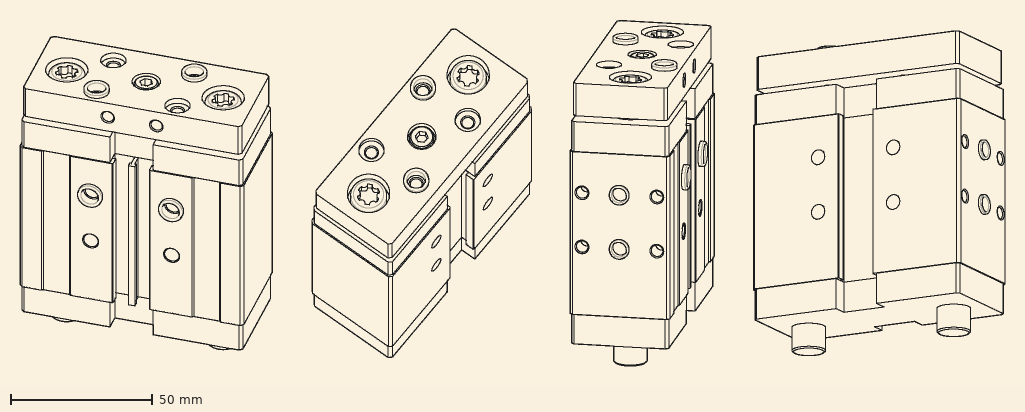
import cadquery as cq
import math


ROD_OVERHANG = 9.0
CAP_HEIGHT = 11.0
HOUSING_HEIGHT = 60.0
YOKE_GAP = 2.0
YOKE_HEIGHT = 12.0

LOWER_CAP_Z = ROD_OVERHANG
HOUSING_Z = LOWER_CAP_Z + CAP_HEIGHT
HOUSING_TOP = HOUSING_Z + HOUSING_HEIGHT
CAP_TOP = HOUSING_TOP + CAP_HEIGHT
YOKE_Z = CAP_TOP + YOKE_GAP
YOKE_TOP = YOKE_Z + YOKE_HEIGHT

HOUSING_WIDTH = 83.0
HOUSING_DEPTH = 36.0
CAP_WIDTH = 82.0
CAP_DEPTH = 35.0
YOKE_WIDTH = 81.0
YOKE_DEPTH = 34.0
BODY_CHAMFER = 1.1
YOKE_CHAMFER = 1.1
HOUSING_FRONT = -HOUSING_DEPTH / 2
HOUSING_SIDE = -HOUSING_WIDTH / 2
YOKE_FRONT = -YOKE_DEPTH / 2

SLOT_FLOOR = 11.6
SLOT_WIDTH = 16.0
SLOT_MOUTH = 13.5
SLOT_LIP = 3.3
LIP_CHAMFER = 0.3
RIB_STEM = 1.3
RIB_HEAD = 2.5
RIB_HEAD_DEPTH = 1.7
RIB_TIP = 17.4

RECESS_INNER = 22.5
RECESS_OUTER = 33.2
RECESS_DEPTH = 0.5

ROD_DIAMETER = 12.0
ROD_SPACING = 58.0
ROD_Y = -1.5
ROD_CHAMFER = 0.5
PISTON_DIAMETER = 8.0
ROD_POINTS = [(-ROD_SPACING / 2, ROD_Y), (ROD_SPACING / 2, ROD_Y)]

ROD_COUNTERBORE = 15.0
ROD_HEAD = 12.8
ROD_HEAD_HEIGHT = 5.3
ROD_HEAD_SUNK = 0.9
ROD_HEAD_ROUNDING = 1.1
STAR_OUTER = 4.0
STAR_INNER = 3.0
STAR_TIP_HALF_ANGLE = 12
STAR_LOBES = 6
FIRST_TIP_ANGLE = 90
PISTON_COUNTERBORE = 10.0
PISTON_HEAD = 8.5
PISTON_HEAD_HEIGHT = 3.2
PISTON_HEAD_SUNK = 0.3
PISTON_HEAD_CHAMFER = 0.4
HEX_ACROSS_FLATS = 4.0
HEX_SIDES = 6
SOCKET_DEPTH = 3.2

HOLE_PITCH_X = 30.0
HOLE_PITCH = 20.0
YOKE_HOLES_Y = -1.0
HOLE_BELOW_TOP = 15.0
UPPER_HOLE_Z = HOUSING_TOP - HOLE_BELOW_TOP
LOWER_HOLE_Z = UPPER_HOLE_Z - HOLE_PITCH
THROUGH_HOLE = 5.3
THROUGH_HOLE_MOUTH = 6.0
THREAD_CORE = 4.2
THREAD_OUTER = 5.0
BLIND_DEPTH = 8.5
DRILL_TIP_ANGLE = 118
SIDE_HOLE_PITCH_Y = 27.0
YOKE_FRONT_HOLE_PITCH = 18.0
YOKE_FRONT_HOLE_Z = YOKE_TOP - YOKE_HEIGHT / 2

LARGE_SEAT = 2.1
LARGE_SLEEVE = (9.0, 6.5, LARGE_SEAT, 1.8)
SMALL_SLEEVE = (7.0, 5.3, 1.7, 1.3)

HOLE_COLUMNS_X = (-HOLE_PITCH_X / 2, HOLE_PITCH_X / 2)
YOKE_SLEEVE_POINTS = [
    (-HOLE_PITCH_X / 2, YOKE_HOLES_Y - HOLE_PITCH / 2),
    (HOLE_PITCH_X / 2, YOKE_HOLES_Y + HOLE_PITCH / 2),
]
YOKE_HOLE_POINTS = [
    (x, YOKE_HOLES_Y + side * HOLE_PITCH / 2)
    for x in HOLE_COLUMNS_X
    for side in (-1, 1)
]
HOLE_ROWS_Z = (LOWER_HOLE_Z, UPPER_HOLE_Z)

UP = cq.Vector(0, 0, 1)
INTO_YOKE_TOP = cq.Vector(0, 0, -1)
INTO_FRONT = cq.Vector(0, 1, 0)
INTO_SIDE = cq.Vector(1, 0, 0)


def cylinder(diameter, length, start, direction):
    """Cylinder from a start point along a direction."""
    return cq.Workplane(cq.Solid.makeCylinder(diameter / 2, length, cq.Vector(*start), direction))


def chamfered_block(width, depth, height, base_z, chamfer):
    block = cq.Workplane("XY").workplane(offset=base_z).rect(width, depth).extrude(height)
    return block.edges("|Z").chamfer(chamfer)


def cone(base_diameter, end_diameter, length, start, direction):
    """Cone or frustum from a start point along a direction."""
    return cq.Workplane(
        cq.Solid.makeCone(base_diameter / 2, end_diameter / 2, length, cq.Vector(*start), direction)
    )


def countersunk_hole(core, mouth, start, direction, depth):
    """Straight bore with a 45 degree countersink at its mouth."""
    sink = (mouth - core) / 2
    return cylinder(core, depth, start, direction).union(cone(mouth, core, sink, start, direction))


def threaded_hole(start, direction, depth):
    return countersunk_hole(THREAD_CORE, THREAD_OUTER, start, direction, depth)


def blind_threaded_hole(start, direction):
    """Threaded hole that ends in a conical drill tip."""
    tip_length = THREAD_CORE / 2 / math.tan(math.radians(DRILL_TIP_ANGLE / 2))
    tip_start = (cq.Vector(*start) + direction * BLIND_DEPTH).toTuple()
    tip = cone(THREAD_CORE, 0, tip_length, tip_start, direction)
    return threaded_hole(start, direction, BLIND_DEPTH).union(tip)


def sleeve_seat(sleeve, start, direction):
    outer, _, seat, _ = sleeve
    return cylinder(outer, seat, start, direction)


def make_sleeve(sleeve, start, direction):
    """Ring that sits in its seat and stands proud of the surface, with a fully rounded outer end."""
    outer, inner, seat, proud = sleeve
    wall = (outer - inner) / 2
    shoulder = proud - wall / 2
    radial = UP.cross(direction) if direction.dot(UP) == 0 else cq.Vector(-1, 0, 0)
    plane = cq.Plane(cq.Vector(*start), xDir=radial, normal=direction.cross(radial))
    profile = (
        cq.Workplane(plane)
        .moveTo(inner / 2, -seat)
        .lineTo(outer / 2, -seat)
        .lineTo(outer / 2, shoulder)
        .threePointArc(((outer + inner) / 4, proud), (inner / 2, shoulder))
        .close()
    )
    return profile.revolve(360, (0, 0), (0, 1))


def rod_bores():
    """Close-fitting bores: guide rods through the caps and housing, piston rod up to the lower cap."""
    length = CAP_TOP - LOWER_CAP_Z
    bores = cylinder(PISTON_DIAMETER, CAP_TOP - HOUSING_Z, (0, 0, HOUSING_Z), UP)
    for x, y in ROD_POINTS:
        bores = bores.union(cylinder(ROD_DIAMETER, length, (x, y, LOWER_CAP_Z), UP))
    return bores


def sensor_slot():
    """Undercut slot in the housing front, with lips that narrow and chamfer its mouth."""
    front = HOUSING_DEPTH / 2
    lip = front - SLOT_LIP
    half = SLOT_WIDTH / 2
    mouth = SLOT_MOUTH / 2
    right = [
        (half, -SLOT_FLOOR),
        (half, -lip),
        (mouth, -lip),
        (mouth, -front + LIP_CHAMFER),
        (mouth + LIP_CHAMFER, -front),
    ]
    left = [(-x, y) for x, y in reversed(right)]
    return cq.Workplane("XY").workplane(offset=HOUSING_Z).polyline(right + left).close().extrude(HOUSING_HEIGHT)


def slot_rib():
    """T-shaped rib standing on the floor of the front slot."""
    stem_length = RIB_TIP - SLOT_FLOOR
    base = cq.Workplane("XY").workplane(offset=HOUSING_Z)
    stem = base.center(0, -SLOT_FLOOR - stem_length / 2).rect(RIB_STEM, stem_length).extrude(HOUSING_HEIGHT)
    head_y = -RIB_TIP + RIB_HEAD_DEPTH / 2
    head = base.center(0, head_y).rect(RIB_HEAD, RIB_HEAD_DEPTH).extrude(HOUSING_HEIGHT)
    return stem.union(head)


def front_recess(side):
    """Shallow trapezoidal recess with 45 degree flanks, on one side of the front slot."""
    floor = HOUSING_FRONT + RECESS_DEPTH
    points = [
        (side * RECESS_INNER, HOUSING_FRONT),
        (side * (RECESS_INNER + RECESS_DEPTH), floor),
        (side * (RECESS_OUTER - RECESS_DEPTH), floor),
        (side * RECESS_OUTER, HOUSING_FRONT),
    ]
    return cq.Workplane("XY").workplane(offset=HOUSING_Z).polyline(points).close().extrude(HOUSING_HEIGHT)


def front_through_hole(x, z):
    start = (x, HOUSING_FRONT, z)
    return countersunk_hole(THROUGH_HOLE, THROUGH_HOLE_MOUTH, start, INTO_FRONT, HOUSING_DEPTH)


def make_housing():
    housing = chamfered_block(HOUSING_WIDTH, HOUSING_DEPTH, HOUSING_HEIGHT, HOUSING_Z, BODY_CHAMFER)
    slot = sensor_slot()
    housing = housing.cut(slot).cut(slot.mirror("XZ")).union(slot_rib())
    for side in (-1, 1):
        housing = housing.cut(front_recess(side))
    housing = housing.cut(rod_bores())
    for z in HOLE_ROWS_Z:
        for x in HOLE_COLUMNS_X:
            housing = housing.cut(front_through_hole(x, z))
        for y in (-SIDE_HOLE_PITCH_Y / 2, SIDE_HOLE_PITCH_Y / 2):
            housing = housing.cut(blind_threaded_hole((HOUSING_SIDE, y, z), INTO_SIDE))
        housing = housing.cut(sleeve_seat(SMALL_SLEEVE, (HOUSING_SIDE, 0, z), INTO_SIDE))
    for x in HOLE_COLUMNS_X:
        housing = housing.cut(sleeve_seat(LARGE_SLEEVE, (x, HOUSING_FRONT, UPPER_HOLE_Z), INTO_FRONT))
    return housing


def make_cap(base_z):
    cap = chamfered_block(CAP_WIDTH, CAP_DEPTH, CAP_HEIGHT, base_z, BODY_CHAMFER)
    cut_depth = CAP_DEPTH / 2 - SLOT_FLOOR
    offset = SLOT_FLOOR + cut_depth / 2
    slots = (
        cq.Workplane("XY").workplane(offset=base_z)
        .pushPoints([(0, -offset), (0, offset)])
        .rect(SLOT_WIDTH, cut_depth)
        .extrude(CAP_HEIGHT)
    )
    return cap.cut(slots).cut(rod_bores())


def star_socket(x, y, top_z):
    """Six-lobed socket: narrow rounded tips joined by arcs that curve towards the axis."""
    def polar(radius, angle):
        return (radius * math.cos(math.radians(angle)), radius * math.sin(math.radians(angle)))

    step = 360 / STAR_LOBES
    first = FIRST_TIP_ANGLE - STAR_TIP_HALF_ANGLE
    outline = cq.Workplane("XY", origin=(x, y, top_z)).moveTo(*polar(STAR_OUTER, first))
    for lobe in range(STAR_LOBES):
        tip = FIRST_TIP_ANGLE + lobe * step
        outline = outline.threePointArc(
            polar(STAR_OUTER, tip), polar(STAR_OUTER, tip + STAR_TIP_HALF_ANGLE)
        )
        outline = outline.threePointArc(
            polar(STAR_INNER, tip + step / 2), polar(STAR_OUTER, tip + step - STAR_TIP_HALF_ANGLE)
        )
    return outline.close().extrude(-SOCKET_DEPTH)


def rod_screw_head(x, y):
    top = YOKE_TOP - ROD_HEAD_SUNK
    head = cylinder(ROD_HEAD, ROD_HEAD_HEIGHT, (x, y, top - ROD_HEAD_HEIGHT), UP)
    return head.faces(">Z").edges().fillet(ROD_HEAD_ROUNDING).cut(star_socket(x, y, top))


def piston_screw_head():
    top = YOKE_TOP - PISTON_HEAD_SUNK
    head = cylinder(PISTON_HEAD, PISTON_HEAD_HEIGHT, (0, 0, top - PISTON_HEAD_HEIGHT), UP)
    head = head.faces(">Z").edges().chamfer(PISTON_HEAD_CHAMFER)
    hex_diameter = HEX_ACROSS_FLATS / math.cos(math.pi / HEX_SIDES)
    socket = cq.Workplane("XY", origin=(0, 0, top)).polygon(HEX_SIDES, hex_diameter).extrude(-SOCKET_DEPTH)
    return head.cut(socket)


def make_moving_unit():
    """Yoke plate joined to its guide rods, its piston rod and their screws."""
    unit = chamfered_block(YOKE_WIDTH, YOKE_DEPTH, YOKE_HEIGHT, YOKE_Z, YOKE_CHAMFER)
    for x, y in YOKE_HOLE_POINTS:
        unit = unit.cut(sleeve_seat(LARGE_SLEEVE, (x, y, YOKE_TOP), INTO_YOKE_TOP))
        floor = YOKE_TOP - LARGE_SEAT
        unit = unit.cut(threaded_hole((x, y, floor), INTO_YOKE_TOP, floor - YOKE_Z))
    for x in (-YOKE_FRONT_HOLE_PITCH / 2, YOKE_FRONT_HOLE_PITCH / 2):
        unit = unit.cut(blind_threaded_hole((x, YOKE_FRONT, YOKE_FRONT_HOLE_Z), INTO_FRONT))

    for x, y in ROD_POINTS:
        rod = cylinder(ROD_DIAMETER, YOKE_Z, (x, y, 0), UP).faces("<Z").edges().chamfer(ROD_CHAMFER)
        recess_depth = ROD_HEAD_HEIGHT + ROD_HEAD_SUNK
        unit = unit.cut(cylinder(ROD_COUNTERBORE, recess_depth, (x, y, YOKE_TOP), INTO_YOKE_TOP))
        unit = unit.union(rod).union(rod_screw_head(x, y))

    piston_rod = cylinder(PISTON_DIAMETER, YOKE_Z - HOUSING_Z, (0, 0, HOUSING_Z), UP)
    recess_depth = PISTON_HEAD_HEIGHT + PISTON_HEAD_SUNK
    unit = unit.cut(cylinder(PISTON_COUNTERBORE, recess_depth, (0, 0, YOKE_TOP), INTO_YOKE_TOP))
    return unit.union(piston_rod).union(piston_screw_head())


housing = make_housing()
caps = [make_cap(z) for z in (LOWER_CAP_Z, HOUSING_TOP)]
moving_unit = make_moving_unit()
yoke_sleeves = [make_sleeve(LARGE_SLEEVE, (x, y, YOKE_TOP), INTO_YOKE_TOP) for x, y in YOKE_SLEEVE_POINTS]
front_sleeves = [
    make_sleeve(LARGE_SLEEVE, (x, HOUSING_FRONT, UPPER_HOLE_Z), INTO_FRONT)
    for x in HOLE_COLUMNS_X
]
side_sleeves = [make_sleeve(SMALL_SLEEVE, (HOUSING_SIDE, 0, z), INTO_SIDE) for z in HOLE_ROWS_Z]

bodies = [housing, *caps, moving_unit, *yoke_sleeves, *front_sleeves, *side_sleeves]
result = cq.Compound.makeCompound([body.val() for body in bodies])